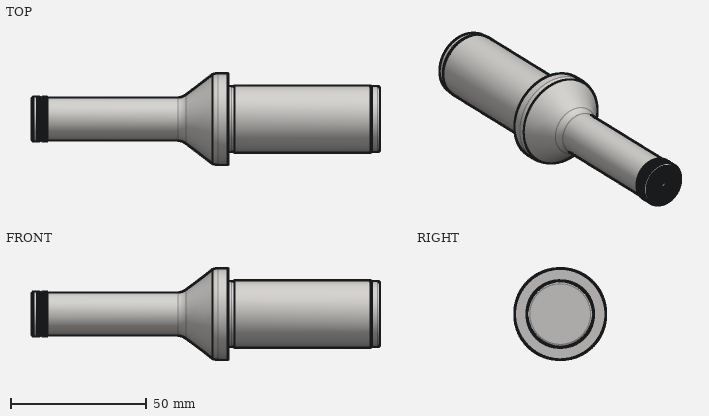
import cadquery as cq

length = 129.0
tip_end = 5.9
rod_end = 54.2
cone_start = 57.3
cone_end = 67.1
rim_start = 69.0
flange_end = 72.9
collar_end = 74.0
shank_start = 75.1
shank_end = 125.4
tail_start = 126.0

rod_radius = 16.0 / 2
cone_start_radius = 9.2
cone_end_radius = 16.6
flange_radius = 34.0 / 2
collar_radius = 24.5 / 2
shank_radius = 25.0 / 2
relief_depth = 0.3
relief_radius = collar_radius - relief_depth
flange_chamfer = 0.3
tail_fillet = 1.0

root_mid = (55.9, 8.4)
shoulder_mid = (68.0, 16.9)

tip_radius = 8.4
tip_chamfer = 0.8
tip_front_land = 2.0
tip_step = 0.06
ring_edge = 0.4
groove_start = 3.2
groove_end = 3.9
rib_groove_start = 4.6
rib_groove_end = 5.0
rib_groove_depth = 0.1
face_groove_depth = 0.3
face_grooves = [(1.0, 1.8), (2.6, 3.4), (3.9, 4.8), (5.2, 5.9), (6.8, 7.4)]


def revolve_about_x(outline):
    """Turn a closed outline drawn as (axial position, radius) into a solid."""
    return outline.close().revolve(360, (0, 0, 0), (1, 0, 0))


def make_holder():
    """Rod, conical flange, and shank with a relief at each end."""
    outline = (
        cq.Workplane("XY")
        .moveTo(tip_end, 0)
        .lineTo(tip_end, rod_radius)
        .lineTo(rod_end, rod_radius)
        .threePointArc(root_mid, (cone_start, cone_start_radius))
        .lineTo(cone_end, cone_end_radius)
        .threePointArc(shoulder_mid, (rim_start, flange_radius))
        .lineTo(flange_end - flange_chamfer, flange_radius)
        .lineTo(flange_end, flange_radius - flange_chamfer)
        .lineTo(flange_end, collar_radius)
        .lineTo(collar_end, collar_radius)
        .lineTo(shank_start, relief_radius)
        .lineTo(shank_start, shank_radius)
        .lineTo(shank_end, shank_radius)
        .lineTo(shank_end, relief_radius)
        .lineTo(tail_start, collar_radius)
        .lineTo(length, collar_radius)
        .lineTo(length, 0)
    )
    return revolve_about_x(outline).faces(">X").edges().fillet(tail_fillet)


def make_face_groove(inner_radius, outer_radius):
    """Ring that cuts one concentric groove into the front of the tip."""
    return (
        cq.Workplane("YZ")
        .circle(outer_radius)
        .circle(inner_radius)
        .extrude(face_groove_depth)
    )


def make_tip():
    """Ribbed tip with concentric grooves in its front face."""
    step_radius = tip_radius - tip_step
    rib_groove_radius = tip_radius - rib_groove_depth
    outline = (
        cq.Workplane("XY")
        .lineTo(0, tip_radius - tip_chamfer)
        .lineTo(tip_chamfer, tip_radius)
        .lineTo(tip_front_land, tip_radius)
        .lineTo(tip_front_land, step_radius)
        .lineTo(groove_start - ring_edge, step_radius)
        .lineTo(groove_start, rod_radius)
        .lineTo(groove_end, rod_radius)
        .lineTo(groove_end + ring_edge, tip_radius)
        .lineTo(rib_groove_start, tip_radius)
        .lineTo(rib_groove_start, rib_groove_radius)
        .lineTo(rib_groove_end, rib_groove_radius)
        .lineTo(rib_groove_end, tip_radius)
        .lineTo(tip_end - ring_edge, tip_radius)
        .lineTo(tip_end, rod_radius)
        .lineTo(tip_end, 0)
    )
    tip = revolve_about_x(outline)
    for inner_radius, outer_radius in face_grooves:
        tip = tip.cut(make_face_groove(inner_radius, outer_radius))
    return tip


holder = make_holder()
tip = make_tip()
result = cq.Compound.makeCompound([holder.val(), tip.val()])